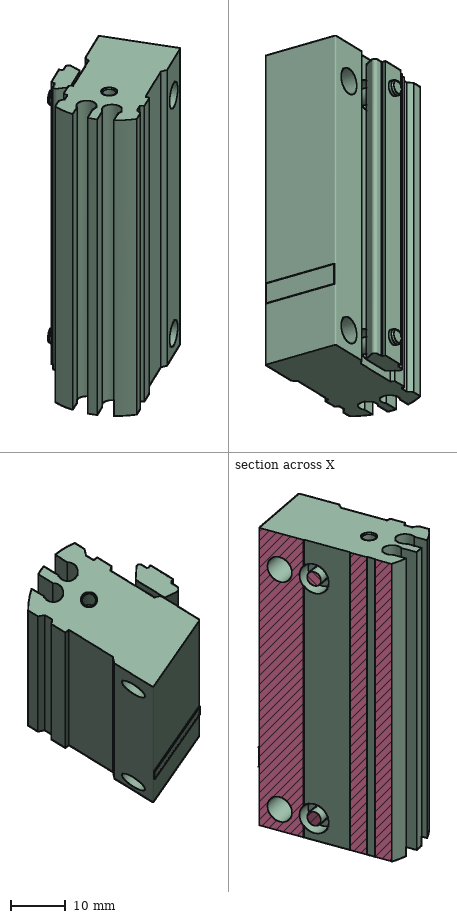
import cadquery as cq
import math

length = 62.0
width = 15.55
half_width = width / 2
right_x = 21.4
centre_x = right_x - half_width
housing_depth = 29.5
corner_radius = 0.25
waist_half_width = 6.9
waist_depth = half_width - waist_half_width
lip_bottom_y = 21.1
rib_half_width = 7.7
rib_top_y = 10.5
rib_bottom_y = 7.1
rib_edge_slope = 0.25
foot_top_y = 4.45
foot_side_y = 2.3

slot_offset = 2.4
slot_width = 3.0
bulb_diameter = 3.65
bulb_y = 4.3

end_hole_y = 10.5
end_hole_diameter = 2.5
end_hole_mouth_diameter = 3.0
end_hole_depth = 6.2
end_hole_chamfer = (end_hole_mouth_diameter - end_hole_diameter) / 2

lower_hole_z = 4.5
hole_spacing = 49.9
hole_heights = [lower_hole_z, lower_hole_z + hole_spacing]
cross_hole_y = 25.25
cross_hole_diameter = 5.0

screw_y = 18.05
screw_diameter = 3.0
screw_tip_diameter = 2.5
screw_tip_length = 0.4
recess_diameter = 6.0
recess_depth = 3.1
recess_mouth_x = centre_x - waist_half_width
recess_floor_x = recess_mouth_x + recess_depth
screw_seat_depth = 3.1
screw_length = recess_floor_x + screw_seat_depth

rail_length = 59.0
rail_outer_x = 1.0
rail_shoulder_x = 1.8
rail_inner_x = 4.85
rail_pad_half_width = 2.5
rail_pad_bevel = 0.25
rail_back_half_width = 3.15
rail_flank_angle = 30.0
rail_edge_radius = 0.6

label_thickness = 0.2
label_height = 4.0
label_bottom_z = 12.2


def x_cylinder(diameter, y, z, start_x, end_x):
    """Cylinder along X between two X positions."""
    return (
        cq.Workplane("YZ", origin=(start_x, y, z))
        .circle(diameter / 2)
        .extrude(end_x - start_x)
    )


def housing_blank():
    side = [
        (half_width, housing_depth),
        (half_width, lip_bottom_y),
        (waist_half_width, lip_bottom_y - waist_depth),
        (waist_half_width, rib_top_y + rib_edge_slope / 2),
        (rib_half_width, rib_top_y - rib_edge_slope / 2),
        (rib_half_width, rib_bottom_y + rib_edge_slope / 2),
        (waist_half_width, rib_bottom_y - rib_edge_slope / 2),
        (waist_half_width, foot_top_y + waist_depth),
        (half_width, foot_top_y),
        (half_width, foot_side_y),
    ]
    right_side = [(centre_x + dx, y) for dx, y in side]
    left_side = [(centre_x - dx, y) for dx, y in reversed(side)]
    return (
        cq.Workplane("XY")
        .polyline(right_side)
        .threePointArc((centre_x, 0), left_side[0])
        .polyline(left_side, includeCurrent=False)
        .close()
        .extrude(length)
        .edges("|Z and >Y")
        .fillet(corner_radius)
    )


def keyhole_slot(x):
    neck = cq.Workplane("XY").center(x, bulb_y / 2).rect(slot_width, bulb_y).extrude(length)
    bulb = cq.Workplane("XY").center(x, bulb_y).circle(bulb_diameter / 2).extrude(length)
    return neck.union(bulb)


def end_hole():
    mouth_z = length - end_hole_chamfer
    bore = (
        cq.Workplane("XY", origin=(centre_x, end_hole_y, length))
        .circle(end_hole_diameter / 2)
        .extrude(-end_hole_depth)
    )
    mouth = (
        cq.Workplane("XY", origin=(centre_x, end_hole_y, mouth_z))
        .circle(end_hole_diameter / 2)
        .workplane(offset=end_hole_chamfer)
        .circle(end_hole_mouth_diameter / 2)
        .loft()
    )
    return bore.union(mouth)


def make_housing():
    body = housing_blank().cut(end_hole())
    for side in (-1, 1):
        body = body.cut(keyhole_slot(centre_x + side * slot_offset))
    for z in hole_heights:
        body = body.cut(x_cylinder(cross_hole_diameter, cross_hole_y, z, 0, right_x))
        body = body.cut(x_cylinder(recess_diameter, screw_y, z, 0, recess_floor_x))
        body = body.cut(x_cylinder(screw_diameter, screw_y, z, 0, screw_length))
    return body


def make_rail():
    flank_run = rail_inner_x - rail_shoulder_x
    shoulder_half_width = rail_back_half_width + flank_run * math.tan(math.radians(rail_flank_angle))
    side = [
        (rail_outer_x, rail_pad_half_width),
        (rail_shoulder_x - rail_pad_bevel, rail_pad_half_width),
        (rail_shoulder_x, rail_pad_half_width + rail_pad_bevel),
        (rail_shoulder_x, shoulder_half_width),
        (rail_inner_x, rail_back_half_width),
    ]
    upper = [(x, screw_y + dy) for x, dy in side]
    lower = [(x, screw_y - dy) for x, dy in reversed(side)]
    body = cq.Workplane("XY").polyline(upper + lower).close().extrude(rail_length)
    for x, y in upper[-2:] + lower[:2]:
        corner = cq.selectors.NearestToPointSelector((x, y, rail_length / 2))
        body = body.edges("|Z").edges(corner).fillet(rail_edge_radius)
    for z in hole_heights:
        body = body.cut(x_cylinder(screw_diameter, screw_y, z, 0, rail_inner_x))
    return body


def make_screw(z):
    shank = x_cylinder(screw_diameter, screw_y, z, screw_tip_length, screw_length)
    tip = (
        cq.Workplane("YZ", origin=(0, screw_y, z))
        .circle(screw_tip_diameter / 2)
        .workplane(offset=screw_tip_length)
        .circle(screw_diameter / 2)
        .loft()
    )
    return shank.union(tip)


def make_label():
    label_width = width - 2 * corner_radius
    return (
        cq.Workplane("XY", origin=(centre_x, housing_depth, label_bottom_z))
        .box(label_width, label_thickness, label_height, centered=(True, False, False))
    )


housing = make_housing()
rail = make_rail()
screws = [make_screw(z) for z in hole_heights]
label = make_label()

result = cq.Compound.makeCompound(
    [housing.val(), rail.val(), *[screw.val() for screw in screws], label.val()]
)